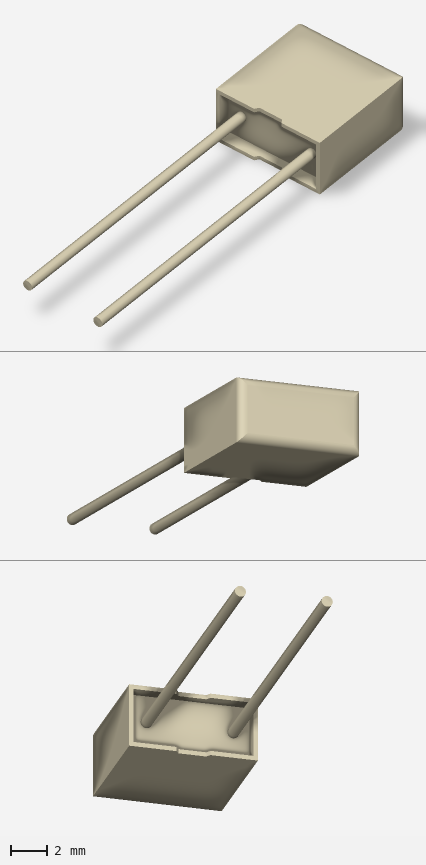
import cadquery as cq

overall_length = 25.6
case_width = 7.4
case_length = 7.6
case_height = 3.7
wall = 0.25
rear_edge_radius = 0.49
fill_recess = 0.8
notch_mouth_width = 1.95
notch_floor_width = 1.6
notch_depth = 0.25
lead_diameter = 0.65
lead_pitch = 5.0

rear_y = overall_length / 2
mouth_y = rear_y - case_length
fill_face_y = mouth_y + fill_recess
cavity_end_y = rear_y - wall
lead_tip_y = -overall_length / 2
cavity_width = case_width - 2 * wall
cavity_height = case_height - 2 * wall


def block(width, height, front_y, back_y):
    """Box centred in X and Z, spanning front_y to back_y."""
    return cq.Workplane("XY").box(width, back_y - front_y, height).translate((0, (front_y + back_y) / 2, 0))


def notch_cutter():
    """Tapered notch through the upper and lower walls at the mouth."""
    half_mouth = notch_mouth_width / 2
    half_floor = notch_floor_width / 2
    floor_y = mouth_y + notch_depth
    outline = [
        (-half_mouth, mouth_y),
        (half_mouth, mouth_y),
        (half_floor, floor_y),
        (-half_floor, floor_y),
    ]
    return cq.Workplane("XY").polyline(outline).close().extrude(case_height / 2, both=True)


def make_case():
    """Box open at the front, with rounded rear edges and a notched mouth."""
    shell = block(case_width, case_height, mouth_y, rear_y).faces(">Y").edges().fillet(rear_edge_radius)
    cavity = block(cavity_width, cavity_height, mouth_y, cavity_end_y)
    return shell.cut(cavity).cut(notch_cutter())


def make_fill():
    """Potting block that fills the cavity up to its recessed front face."""
    return block(cavity_width, cavity_height, fill_face_y, cavity_end_y)


def make_lead(x):
    """Round wire lead standing on the front face of the fill."""
    lead_length = fill_face_y - lead_tip_y
    face = cq.Workplane("XZ", origin=(x, fill_face_y, 0))
    return face.circle(lead_diameter / 2).extrude(lead_length)


case = make_case()
fill = make_fill()
leads = [make_lead(side * lead_pitch / 2) for side in (-1, 1)]

result = cq.Compound.makeCompound([case.val(), fill.val(), *[lead.val() for lead in leads]])